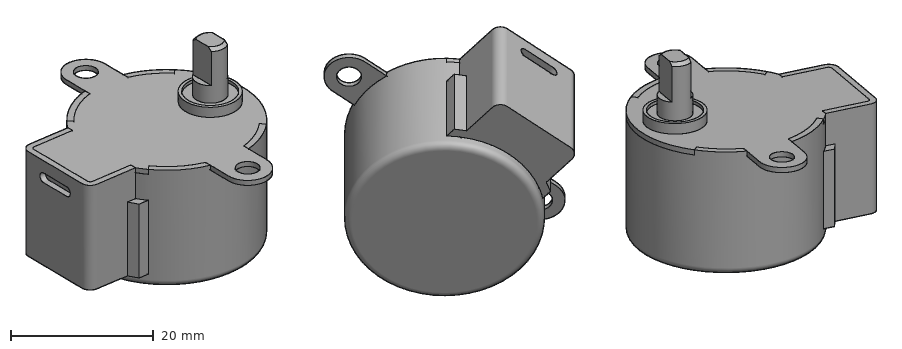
import cadquery as cq
import math

overall_length = 42.0
overall_height = 29.0

can_diameter = 28.0
can_height = 19.0
can_bottom_fillet = 1.0
wall = 1.0

plate_thickness = 0.8
ear_width = 7.0
ear_hole_diameter = 3.5
rear_lug_half_angle = 45.0
front_lug_half_width = 8.8
lug_end_angle = 45.0

cover_width = 14.6
cover_reach = 20.5
cover_bottom = 2.0
cover_corner_radius = 1.5
wing_top = 14.0
wing_outer_edge_y = -12.55
wing_face_angle = 30.0
slot_length = 6.55
slot_height = 1.55
slot_middle_z = 16.2

boss_diameter = 9.0
boss_height = 1.65
boss_recess_diameter = 8.0
boss_recess_depth = 0.5

shaft_diameter = 5.0
shaft_offset_y = 8.0
shaft_chamfer = 0.5
flat_spacing = 3.0
flat_length = 6.0

can_radius = can_diameter / 2
plate_bottom = can_height - plate_thickness
ear_center_x = (overall_length - ear_width) / 2
cover_half_width = cover_width / 2
cover_back_y = -math.sqrt(can_radius**2 - cover_half_width**2)
wing_half_span = front_lug_half_width
wing_overhang = wing_half_span - cover_half_width
wing_root_y = wing_outer_edge_y - wing_overhang * math.tan(math.radians(wing_face_angle))
rear_lug_half_width = can_radius * math.sin(math.radians(rear_lug_half_angle))


def disc(radius, bottom, height):
    """Cylinder on the can axis."""
    return cq.Workplane("XY").workplane(offset=bottom).circle(radius).extrude(height)


def cover_block(inset, bottom):
    """Block filling the wire cover outline, moved inward by inset, up to the can top."""
    front_y = inset - cover_reach
    return (
        cq.Workplane("XY")
        .box(
            cover_width - 2 * inset,
            cover_back_y - front_y,
            can_height - bottom,
            centered=(True, False, False),
        )
        .translate((0, front_y, bottom))
        .edges("|Z and <Y")
        .fillet(cover_corner_radius - inset)
    )


def rim_lug(half_width, direction):
    """Wedge of the plate that reaches the outside of the can; direction is +1 for +Y, -1 for -Y."""
    corner_y = math.sqrt(can_radius**2 - half_width**2)
    apex_y = corner_y - half_width / math.tan(math.radians(lug_end_angle))
    return (
        cq.Workplane("XY")
        .workplane(offset=plate_bottom)
        .moveTo(0, direction * apex_y)
        .lineTo(-half_width, direction * corner_y)
        .threePointArc((0, direction * can_radius), (half_width, direction * corner_y))
        .close()
        .extrude(plate_thickness)
    )


def make_plate():
    """Cover plate with two ears, two rim lugs and a tab that closes the wire cover."""
    ears = (
        cq.Workplane("XY")
        .workplane(offset=plate_bottom)
        .slot2D(overall_length, ear_width)
        .extrude(plate_thickness)
    )
    front_lug = rim_lug(front_lug_half_width, -1).cut(cover_block(0, cover_bottom))
    return (
        disc(can_radius - wall, plate_bottom, plate_thickness)
        .cut(cover_block(0, cover_bottom))
        .union(ears)
        .union(rim_lug(rear_lug_half_width, 1))
        .union(front_lug)
        .union(cover_block(wall, plate_bottom))
        .faces(">Z")
        .workplane(origin=(0, 0, can_height))
        .pushPoints([(-ear_center_x, 0), (ear_center_x, 0)])
        .hole(ear_hole_diameter)
    )


def make_can(plate):
    """Round motor can with a seat for the plate and a flat seat for the wire cover."""
    return (
        disc(can_radius, 0, can_height)
        .faces("<Z")
        .edges()
        .fillet(can_bottom_fillet)
        .cut(cover_block(0, cover_bottom))
        .cut(plate)
    )


def make_wire_cover(plate):
    """Box on the front of the can, with a wing on each side and a blind slot in its face."""
    wings = (
        cq.Workplane("XY")
        .workplane(offset=cover_bottom)
        .moveTo(-wing_half_span, 0)
        .lineTo(-wing_half_span, wing_outer_edge_y)
        .lineTo(-cover_half_width, wing_root_y)
        .lineTo(cover_half_width, wing_root_y)
        .lineTo(wing_half_span, wing_outer_edge_y)
        .lineTo(wing_half_span, 0)
        .close()
        .extrude(wing_top - cover_bottom)
        .cut(disc(can_radius, 0, can_height))
    )
    slot = (
        cq.Workplane("XZ", origin=(0, -cover_reach, slot_middle_z))
        .slot2D(slot_length, slot_height)
        .extrude(-wall)
    )
    return cover_block(0, cover_bottom).union(wings).cut(slot).cut(plate)


def make_boss():
    """Bushing on the plate, with a shallow recess in its top and a bore for the shaft."""
    return (
        cq.Workplane("XY", origin=(0, shaft_offset_y, can_height))
        .circle(boss_diameter / 2)
        .extrude(boss_height)
        .faces(">Z")
        .workplane()
        .hole(boss_recess_diameter, boss_recess_depth)
        .faces(">Z")
        .workplane()
        .hole(shaft_diameter)
    )


def make_shaft():
    """Output shaft standing on the plate, with a chamfered tip and two flats."""
    flat_bottom = overall_height - flat_length
    shaft = (
        cq.Workplane("XY", origin=(0, shaft_offset_y, can_height))
        .circle(shaft_diameter / 2)
        .extrude(overall_height - can_height)
        .faces(">Z")
        .chamfer(shaft_chamfer)
    )
    for side in (-1, 1):
        flat_cut = (
            cq.Workplane("XY")
            .box(shaft_diameter, shaft_diameter, flat_length, centered=(True, True, False))
            .translate((0, shaft_offset_y + side * (flat_spacing + shaft_diameter) / 2, flat_bottom))
        )
        shaft = shaft.cut(flat_cut)
    return shaft


plate = make_plate()
can = make_can(plate)
wire_cover = make_wire_cover(plate)
boss = make_boss()
shaft = make_shaft()

bodies = [can, plate, wire_cover, boss, shaft]
result = cq.Compound.makeCompound([body.solids().val() for body in bodies])